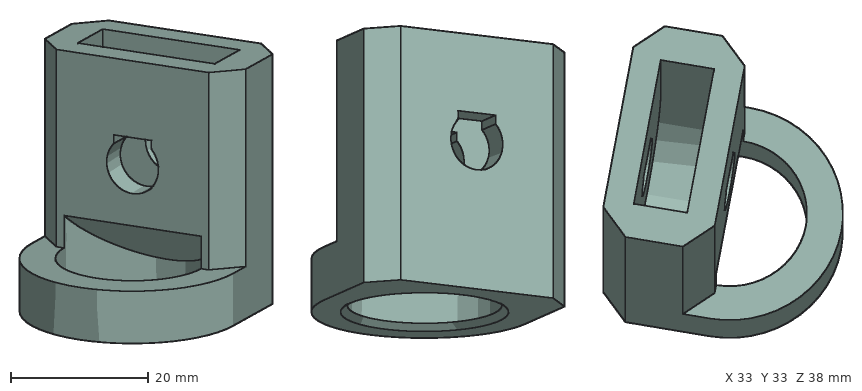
import cadquery as cq

width = 33.0
height = 38.0
outer_radius = width / 2
tower_depth = outer_radius
base_height = 7.98
corner_chamfer = 4.0

bore_diameter = 22.5
bore_radius = bore_diameter / 2
bore_entry_chamfer = 1.0
roof_front_height = 12.92
roof_back_height = 4.8

hole_height = 22.08
hole_radius = 4.25
key_width = 6.15

slot_width = bore_diameter
slot_depth = 7.9
slot_corner_radius = 11.02
slot_bottom = hole_height - bore_radius


def make_body():
    """Ring base joined to a tower with chamfered vertical corners."""
    base = (
        cq.Workplane("XY")
        .moveTo(-outer_radius, tower_depth)
        .lineTo(-outer_radius, 0)
        .threePointArc((0, -outer_radius), (outer_radius, 0))
        .lineTo(outer_radius, tower_depth)
        .close()
        .extrude(base_height)
        .edges("|Z and >Y")
        .chamfer(corner_chamfer)
    )
    tower = (
        cq.Workplane("XY")
        .box(width, tower_depth, height, centered=(True, False, False))
        .edges("|Z")
        .chamfer(corner_chamfer)
    )
    return base.union(tower)


def make_bore():
    """Round bore whose top slopes down from the tower's front to its back."""
    cylinder = cq.Workplane("XY").circle(bore_radius).extrude(roof_front_height)
    side_profile = (
        cq.Workplane("YZ")
        .moveTo(-bore_radius, 0)
        .lineTo(-bore_radius, roof_front_height)
        .lineTo(0, roof_front_height)
        .lineTo(bore_radius, roof_back_height)
        .lineTo(bore_radius, 0)
        .close()
        .extrude(bore_radius, both=True)
    )
    return cylinder.intersect(side_profile)


def make_bore_entry():
    """Cone that chamfers the bottom rim of the bore."""
    return (
        cq.Workplane("XY")
        .circle(bore_radius + bore_entry_chamfer)
        .workplane(offset=bore_entry_chamfer)
        .circle(bore_radius)
        .loft()
    )


def make_slot():
    """Rectangular slot with large rounds along its two bottom edges."""
    return (
        cq.Workplane("XY")
        .box(slot_width, slot_depth, height - slot_bottom, centered=(True, True, False))
        .edges("|Y and <Z")
        .fillet(slot_corner_radius)
        .translate((0, tower_depth / 2, slot_bottom))
    )


def make_keyed_hole():
    """Round hole through the tower with a flat-topped key level with its crown."""
    front = cq.Workplane("XZ").center(0, hole_height)
    round_hole = front.circle(hole_radius).extrude(-tower_depth)
    key = front.center(0, hole_radius / 2).rect(key_width, hole_radius).extrude(-tower_depth)
    return round_hole.union(key)


result = (
    make_body()
    .cut(make_bore())
    .cut(make_bore_entry())
    .cut(make_slot())
    .cut(make_keyed_hole())
)